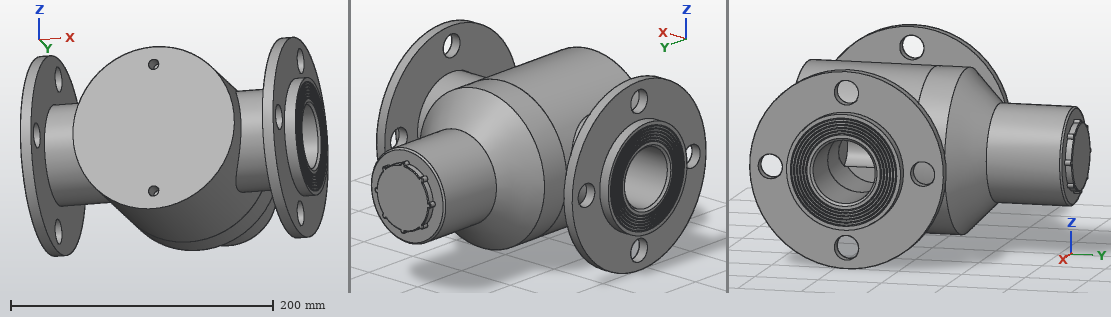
import cadquery as cq
import math


overall_width = 217.8
overall_length = 235.0
port_face_x = overall_width / 2

body_diameter = 128.0
body_bottom_y = -57.0
seam_y = 42.3
cone_start_y = 67.7
neck_diameter = 76.1
neck_top_y = 153.0
neck_chamfer = 1.5
cone_end_y = cone_start_y + (body_diameter - neck_diameter) / 2

mount_hole_diameter = 8.0
mount_hole_depth = 14.0
mount_hole_offset = 50.0

bore_diameter = 49.0
bore_end_x = 18.8
bore_chamfer = 1.9
passage_diameter = 25.5

pipe_diameter = 77.3
collar_diameter = 90.0
collar_thickness = 8.7
groove_count = 6
first_groove_inner_diameter = 58.0
last_groove_inner_diameter = 82.0
groove_width = 1.0
groove_depth = 0.5
groove_pitch = (last_groove_inner_diameter - first_groove_inner_diameter) / 2 / (groove_count - 1)

flange_diameter = 153.0
flange_thickness = 8.5
flange_bore_diameter = 78.0
bolt_count = 4
bolt_hole_diameter = 19.0
bolt_circle_radius = 60.2

knob_top_y = overall_length - flange_diameter / 2
knob_diameter = 53.0
knob_chamfer = 0.7
rib_count = 8
rib_diameter = 4.5
rib_tip_radius = 28.7


def cylinder_y(diameter, start_y, end_y, x=0.0, z=0.0):
    """Round bar parallel to Y."""
    axis = cq.Vector(0, 1, 0)
    return cq.Workplane(cq.Solid.makeCylinder(diameter / 2, end_y - start_y, cq.Vector(x, start_y, z), axis))


def cylinder_x(diameter, start_x, end_x, y=0.0, z=0.0):
    """Round bar parallel to X."""
    axis = cq.Vector(1, 0, 0)
    return cq.Workplane(cq.Solid.makeCylinder(diameter / 2, end_x - start_x, cq.Vector(start_x, y, z), axis))


def place_on_side(shape, side):
    """Shape made for the +X port, moved to the -X port when side is -1."""
    return shape if side > 0 else shape.mirror("YZ")


def make_port_passage():
    """Blind bore of the +X port with the passage that rises from its end to the bonnet."""
    bore = cylinder_x(bore_diameter, bore_end_x, port_face_x)
    passage = cylinder_y(passage_diameter, -bore_diameter / 2, seam_y, x=bore_end_x)
    return bore.union(passage)


def make_housing():
    housing = cylinder_y(body_diameter, body_bottom_y, seam_y)
    hole_top_y = body_bottom_y + mount_hole_depth
    for side in (-1, 1):
        housing = housing.cut(place_on_side(make_port_passage(), side))
        hole = cylinder_y(mount_hole_diameter, body_bottom_y, hole_top_y, z=side * mount_hole_offset)
        housing = housing.cut(hole)
    return housing


def make_bonnet():
    """Solid of revolution: straight base, 45 degree shoulder and neck."""
    neck_radius = neck_diameter / 2
    return (
        cq.Workplane("XY")
        .moveTo(0, seam_y)
        .lineTo(body_diameter / 2, seam_y)
        .lineTo(body_diameter / 2, cone_start_y)
        .lineTo(neck_radius, cone_end_y)
        .lineTo(neck_radius, neck_top_y - neck_chamfer)
        .lineTo(neck_radius - neck_chamfer, neck_top_y)
        .lineTo(0, neck_top_y)
        .close()
        .revolve(360, (0, 0, 0), (0, 1, 0))
    )


def chamfered_knob_bar(diameter, x=0.0, z=0.0):
    """Round bar as tall as the knob, with its top edge chamfered."""
    return cylinder_y(diameter, neck_top_y, knob_top_y, x, z).faces(">Y").chamfer(knob_chamfer)


def make_knob():
    """Round knob with rounded grip ribs along its rim."""
    knob = chamfered_knob_bar(knob_diameter)
    rib_center_radius = rib_tip_radius - rib_diameter / 2
    for i in range(rib_count):
        angle = 2 * math.pi * i / rib_count
        rib_x = rib_center_radius * math.cos(angle)
        rib_z = rib_center_radius * math.sin(angle)
        knob = knob.union(chamfered_knob_bar(rib_diameter, rib_x, rib_z))
    return knob


def make_face_groove(inner_diameter):
    """Ring of material to remove from the sealing face of the +X collar."""
    bottom_x = port_face_x - groove_depth
    outer_diameter = inner_diameter + 2 * groove_width
    disc = cylinder_x(outer_diameter, bottom_x, port_face_x)
    return disc.cut(cylinder_x(inner_diameter, bottom_x, port_face_x))


def make_pipe_stub(side):
    """Pipe with a grooved sealing collar, its inner end shaped to the round housing."""
    collar = cylinder_x(collar_diameter, port_face_x - collar_thickness, port_face_x)
    stub = cylinder_x(pipe_diameter, 0, port_face_x).union(collar)
    stub = stub.cut(cylinder_x(bore_diameter, 0, port_face_x))
    stub = stub.faces(">X").edges(cq.selectors.RadiusNthSelector(0)).chamfer(bore_chamfer)
    for i in range(groove_count):
        inner_diameter = first_groove_inner_diameter + 2 * groove_pitch * i
        stub = stub.cut(make_face_groove(inner_diameter))
    stub = stub.cut(cylinder_y(body_diameter, body_bottom_y, seam_y))
    return place_on_side(stub, side)


def make_flange(side):
    """Loose bolting ring behind the collar of a pipe stub."""
    outer_x = port_face_x - collar_thickness
    inner_x = outer_x - flange_thickness
    flange = cylinder_x(flange_diameter, inner_x, outer_x).cut(
        cylinder_x(flange_bore_diameter, inner_x, outer_x)
    )
    for i in range(bolt_count):
        angle = 2 * math.pi * i / bolt_count
        hole_y = bolt_circle_radius * math.cos(angle)
        hole_z = bolt_circle_radius * math.sin(angle)
        flange = flange.cut(cylinder_x(bolt_hole_diameter, inner_x, outer_x, y=hole_y, z=hole_z))
    return place_on_side(flange, side)


housing = make_housing()
bonnet = make_bonnet()
knob = make_knob()
pipe_stubs = [make_pipe_stub(side) for side in (-1, 1)]
flanges = [make_flange(side) for side in (-1, 1)]

bodies = [housing, bonnet, knob, *pipe_stubs, *flanges]
result = cq.Compound.makeCompound([body.val() for body in bodies])